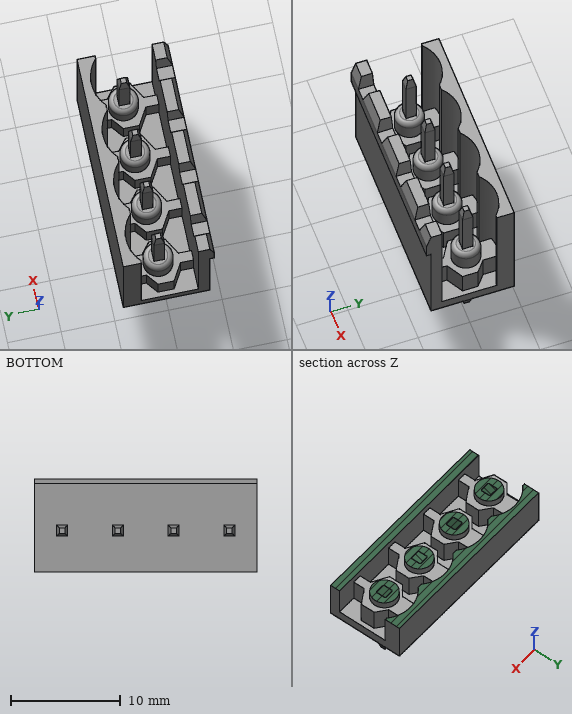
import cadquery as cq

pole_count = 4
length = 20.32
pitch = length / pole_count
pole_xs = [(i - (pole_count - 1) / 2) * pitch for i in range(pole_count)]

back_y = 3.78
overall_depth = 8.5
lip_reach = 0.43
back_wall = 1.69
front_wall = 1.08
floor_height = 1.0
housing_height = 12.0

lip_front_y = back_y - overall_depth
front_y = lip_front_y + lip_reach
inner_back_y = back_y - back_wall
inner_front_y = front_y + front_wall

lip_height = 2.78
lead_in_height = 1.32

notch_depth = lead_in_height
notch_top_width = 2.0
notch_bottom_width = 1.2

scallop_depth = 0.9
scallop_width = 4.55

pedestal_top = 3.33
pedestal_width = 4.12
back_neck_width = 2.0
front_neck_width = 0.93
back_neck_y = 1.3
back_corner_y = 0.45
front_corner_y = -1.05
front_neck_y = -2.0

collar_diameter = 2.75
collar_top = 5.35
collar_rounding = 0.49

pin_width = 1.0
pin_tip_width = 0.5
pin_taper = 0.93
pin_top = 11.03
pin_bottom = -3.98


def make_trough():
    """U-shaped section with the latching lip, extruded along the row."""
    profile = [
        (back_y, 0),
        (back_y, housing_height),
        (inner_back_y, housing_height),
        (inner_back_y, floor_height),
        (inner_front_y, floor_height),
        (inner_front_y, housing_height),
        (front_y, housing_height),
        (lip_front_y, housing_height - lead_in_height),
        (lip_front_y, housing_height - lip_height),
        (front_y, housing_height - lip_height),
        (front_y, 0),
    ]
    return cq.Workplane("YZ").polyline(profile).close().extrude(length / 2, both=True)


def make_scallop(x):
    """Arc-shaped cutter that hollows the back wall from the floor upwards."""
    half_width = scallop_width / 2
    return (
        cq.Workplane("XY", origin=(x, inner_back_y, floor_height))
        .moveTo(-half_width, 0)
        .threePointArc((0, scallop_depth), (half_width, 0))
        .close()
        .extrude(housing_height - floor_height)
    )


def make_notch(x):
    """Tapered cutter through the top of the front wall and its lip."""
    outline = [
        (-notch_top_width / 2, 0),
        (notch_top_width / 2, 0),
        (notch_bottom_width / 2, -notch_depth),
        (-notch_bottom_width / 2, -notch_depth),
    ]
    return (
        cq.Workplane("XZ", origin=(x, inner_front_y, housing_height))
        .polyline(outline)
        .close()
        .extrude(inner_front_y - lip_front_y)
    )


def make_pedestal(x):
    """Faceted block with a wide neck into the back wall and a narrow one into the front wall."""
    right_side = [
        (back_neck_width / 2, inner_back_y + scallop_depth),
        (back_neck_width / 2, back_neck_y),
        (pedestal_width / 2, back_corner_y),
        (pedestal_width / 2, front_corner_y),
        (front_neck_width / 2, front_neck_y),
        (front_neck_width / 2, inner_front_y),
    ]
    left_side = [(-px, py) for px, py in reversed(right_side)]
    return (
        cq.Workplane("XY", origin=(x, 0, floor_height))
        .polyline(right_side + left_side)
        .close()
        .extrude(pedestal_top - floor_height)
    )


def make_collar(x):
    """Round collar with a rounded top edge."""
    return (
        cq.Workplane("XY", origin=(x, 0, pedestal_top))
        .circle(collar_diameter / 2)
        .extrude(collar_top - pedestal_top)
        .faces(">Z")
        .edges()
        .fillet(collar_rounding)
    )


def make_pin_hole(x):
    """Square cutter through the floor, pedestal and collar, matching the pin shank."""
    return cq.Workplane("XY", origin=(x, 0, 0)).rect(pin_width, pin_width).extrude(collar_top)


def make_housing():
    housing = make_trough()
    for x in pole_xs:
        housing = housing.cut(make_scallop(x)).cut(make_notch(x))
        housing = housing.union(make_pedestal(x)).union(make_collar(x))
        housing = housing.cut(make_pin_hole(x))
    return housing


def make_pin_tip(x, z_start, z_end):
    """Square taper from the shank end to the flat pin end."""
    return (
        cq.Workplane("XY", origin=(x, 0, z_start))
        .rect(pin_width, pin_width)
        .workplane(offset=z_end - z_start)
        .rect(pin_tip_width, pin_tip_width)
        .loft(ruled=True)
    )


def make_pin(x):
    """Straight square pin, tapered at both ends."""
    shank_bottom = pin_bottom + pin_taper
    shank_top = pin_top - pin_taper
    shank = (
        cq.Workplane("XY", origin=(x, 0, shank_bottom))
        .rect(pin_width, pin_width)
        .extrude(shank_top - shank_bottom)
    )
    return shank.union(make_pin_tip(x, shank_top, pin_top)).union(make_pin_tip(x, shank_bottom, pin_bottom))


housing = make_housing()
pins = [make_pin(x) for x in pole_xs]

result = cq.Compound.makeCompound([housing.solids().val(), *[pin.solids().val() for pin in pins]])